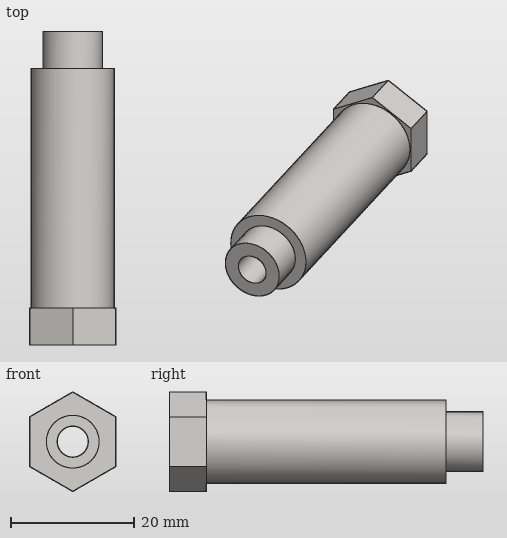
import cadquery as cq
import math

total_length = 51.0
head_across_flats = 14.0
head_length = 6.0
body_diameter = 13.55
tip_diameter = 9.75
tip_length = 6.0
bore_diameter = 5.0
counterbore_diameter = 8.55

head_across_corners = head_across_flats / math.cos(math.radians(30))
body_length = total_length - head_length - tip_length
counterbore_depth = head_length + body_length


def section_plane(y):
    """Plane across the axis at the given Y, with its normal toward +Y."""
    return cq.Workplane(cq.Plane(origin=(0, y, 0), xDir=(0, 0, 1), normal=(0, 1, 0)))


def cylinder(y_start, diameter, length):
    return section_plane(y_start).circle(diameter / 2).extrude(length)


head = section_plane(0).polygon(6, head_across_corners).extrude(head_length)

body = cylinder(head_length, body_diameter, body_length)
tip = cylinder(head_length + body_length, tip_diameter, tip_length)

bore = cylinder(0, bore_diameter, total_length)
counterbore = cylinder(0, counterbore_diameter, counterbore_depth)

result = head.union(body).union(tip).cut(bore).cut(counterbore)